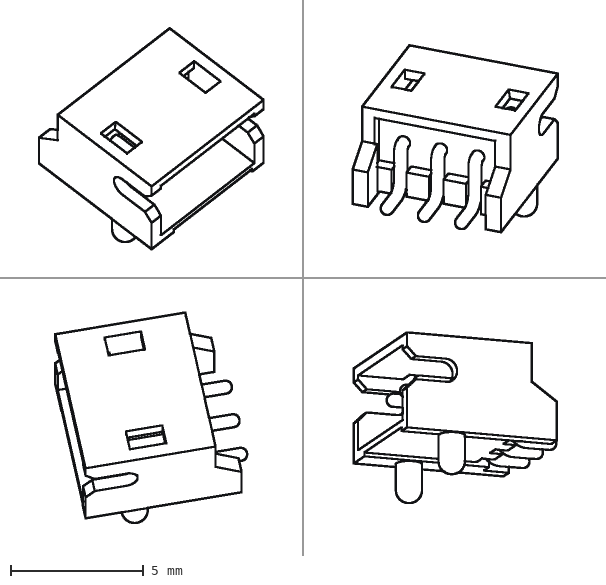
import cadquery as cq

length = 6.5
width = 6.0
height = 3.7
body_back = 1.5
roof = 0.39
side_wall = 0.5

foot_back = 0.5
foot_width = 0.62
foot_low = 1.5
foot_high = 2.2

recess_floor_x = 2.0
cavity_back = 3.0
rib_top = 1.2
pin_gap = 0.6

underside_relief = 0.15
floor_top = 0.4
relief_end_minus_y = -1.8

slot_end = 4.5
slot_z = 2.35
slot_height = 0.9
slot_chamfer = 0.35

window_x = 3.3
window_length = 1.4
window_width = 0.8
window_taper = 0.05

pin_pitch = 1.5
pin_radius = 0.25
pin_riser_x = 1.665
lower_bend = 0.5
upper_bend = 0.26
pin_z = 2.2
pin_tip_x = 5.7

peg_x = 4.5
peg_y = 2.4
peg_radius = 0.5
peg_length = 1.5

half_width = width / 2
foot_inner_y = half_width - foot_width
cavity_half = half_width - side_wall
pin_positions = [-pin_pitch, 0, pin_pitch]


def block(x0, x1, y0, y1, z0, z1):
    """Box between two opposite corners."""
    return cq.Workplane("XY").box(x1 - x0, y1 - y0, z1 - z0, centered=False).translate((x0, y0, z0))


def make_housing():
    housing = block(body_back, length, -half_width, half_width, 0, height)
    foot_outline = [
        (foot_back, 0),
        (body_back, 0),
        (body_back, foot_high),
        (foot_back, foot_low),
    ]
    foot = cq.Workplane("XZ").polyline(foot_outline).close().extrude(-foot_width)
    housing = housing.union(foot.translate((0, -half_width, 0)))
    return housing.union(foot.translate((0, foot_inner_y, 0)))


def rear_recess():
    """Pocket behind the wall, less the ribs that stand between the pins."""
    recess = block(body_back, recess_floor_x, -foot_inner_y, cavity_half, 0, height - roof)
    ribs = block(body_back, recess_floor_x, -foot_inner_y, cavity_half, 0, rib_top)
    for y in pin_positions:
        ribs = ribs.cut(block(body_back, recess_floor_x, y - pin_gap / 2, y + pin_gap / 2, 0, rib_top))
    return recess.cut(ribs)


def side_slot():
    """Slot through both side walls, rounded inside and flared at the open end."""
    radius = slot_height / 2
    low = slot_z - radius
    high = slot_z + radius
    return (
        cq.Workplane("XZ")
        .moveTo(slot_end + radius, low)
        .lineTo(length - slot_chamfer, low)
        .lineTo(length, low - slot_chamfer)
        .lineTo(length, high + slot_chamfer)
        .lineTo(length - slot_chamfer, high)
        .lineTo(slot_end + radius, high)
        .threePointArc((slot_end, slot_z), (slot_end + radius, low))
        .close()
        .extrude(half_width, both=True)
    )


def roof_window():
    """Window on the +Y side, its inner edge leaning outward below the roof."""
    outline = [
        (cavity_half, height),
        (cavity_half - window_width, height),
        (cavity_half - window_width + window_taper, height - roof),
        (cavity_half, height - roof),
    ]
    return cq.Workplane("YZ", origin=(window_x, 0, 0)).polyline(outline).close().extrude(window_length)


def make_pin():
    """Z-shaped round pin with both ends domed."""
    tail_bend_x = pin_riser_x - lower_bend
    riser_low = pin_radius + lower_bend
    riser_high = pin_z - upper_bend
    contact_x = pin_riser_x + upper_bend
    tail_x = pin_radius
    contact_end = pin_tip_x - pin_radius

    tail = cq.Workplane("YZ", origin=(tail_x, 0, pin_radius)).circle(pin_radius).extrude(tail_bend_x - tail_x)
    riser_plane = cq.Workplane("XY", origin=(pin_riser_x, 0, riser_low))
    riser = riser_plane.circle(pin_radius).extrude(riser_high - riser_low)
    contact_plane = cq.Workplane("YZ", origin=(contact_x, 0, pin_z))
    contact = contact_plane.circle(pin_radius).extrude(contact_end - contact_x)

    lower_turn = (
        cq.Workplane("XY", origin=(pin_riser_x, 0, riser_low))
        .circle(pin_radius)
        .revolve(90, (-lower_bend, 0, 0), (-lower_bend, 1, 0))
    )
    upper_turn = (
        cq.Workplane("XY", origin=(pin_riser_x, 0, riser_high))
        .circle(pin_radius)
        .revolve(90, (upper_bend, 0, 0), (upper_bend, 1, 0))
    )
    pin = tail.union(lower_turn).union(riser).union(upper_turn).union(contact)
    for x, z in [(tail_x, pin_radius), (contact_end, pin_z)]:
        pin = pin.union(cq.Workplane("XY").sphere(pin_radius).translate((x, 0, z)))
    return pin


def make_peg():
    """Round peg below the housing with a domed tip."""
    shank = peg_length - peg_radius
    peg = cq.Workplane("XY").circle(peg_radius).extrude(-shank)
    return peg.union(cq.Workplane("XY").sphere(peg_radius).translate((0, 0, -shank)))


housing = make_housing()
housing = housing.cut(rear_recess())
housing = housing.cut(block(cavity_back, length, -cavity_half, cavity_half, floor_top, height - roof))
housing = housing.cut(block(body_back, length, relief_end_minus_y, foot_inner_y, 0, underside_relief))
housing = housing.cut(side_slot())
window = roof_window()
housing = housing.cut(window).cut(window.mirror("XZ"))

result = housing
pin = make_pin()
for y in pin_positions:
    result = result.union(pin.translate((0, y, 0)))
peg = make_peg()
for y in [-peg_y, peg_y]:
    result = result.union(peg.translate((peg_x, y, 0)))